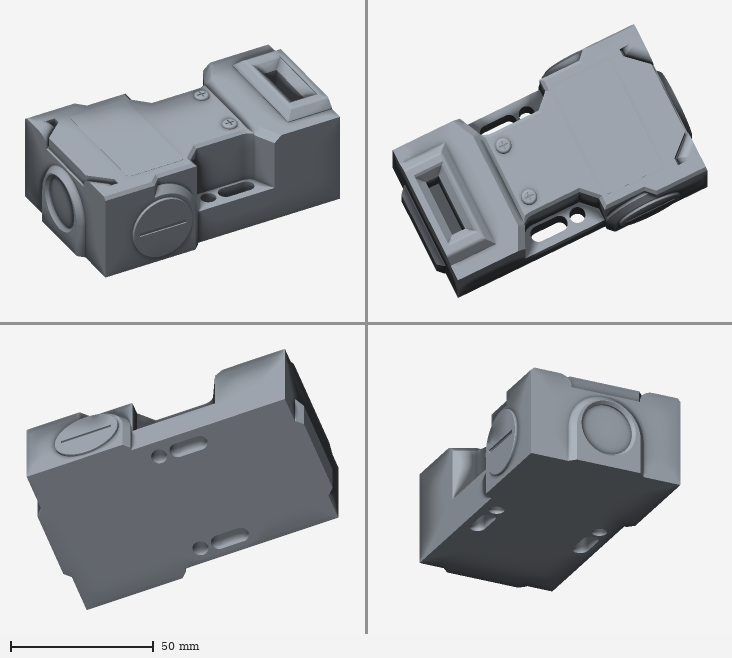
import cadquery as cq

BODY_LENGTH = 95.9
COVER_TOP = 33.7
COVER_BEVEL_DROP = 1.2
COVER_BEVEL_INSET = 1.0

HOUSING_HALF_WIDTH = 29.1
BASE_HALF_WIDTH = 25.9
NECK_HALF_WIDTH = 16.2
LEDGE_TOP = 13.2
SHOULDER_Y = 38.5
SHOULDER_DIAGONAL = 5.1
FLANK_STEP_Y = 23.0

HEAD_TOP = 34.7
HEAD_FRONT_Y = 65.9
HEAD_FRONT_HALF_WIDTH = 17.8
HEAD_FLANK_Y = 69.6
HEAD_BEVEL = 2.5
HEAD_CORNER_X = 18.8
HEAD_CORNER_Y = 66.2
NECK_ARC_START_Y = 62.0

COLLAR_TOP = 38.0
COLLAR_HALF_WIDTH = 20.2
COLLAR_FRONT_Y = 78.3
COLLAR_LIP = 0.3
COLLAR_EDGE_RADIUS = 1.8

MOUTH_HALF_WIDTH = 14.0
MOUTH_FRONT_Y = 82.1
MOUTH_REAR_Y = 93.5
LEAD_IN_INSET = 0.9
LEAD_IN_DEPTH = 0.5
SHAFT_HALF_WIDTH = 10.5
SHAFT_FRONT_Y = 85.5
SHAFT_REAR_Y = 90.6
FUNNEL_DEPTH = 3.2
SHAFT_FLOOR = 20.2

REAR_PLUG_HALF_WIDTH = 16.1
REAR_PLUG_HEIGHT = 14.9
REAR_PLUG_DEPTH = 2.5
REAR_PLUG_TIP = 0.3

MOUNT_X = 20.0
MOUNT_DIAMETER = 5.6
MOUNT_HOLE_Y = 46.3
MOUNT_SLOT_Y = 57.4
MOUNT_SLOT_LENGTH = 13.9

FRONT_BOSS_RADIUS = 14.6
FRONT_BOSS_Z = 13.4
FRONT_BOSS_DEPTH = 2.3
FRONT_BOSS_LIP = 0.1
KNOCKOUT_RADIUS = 10.6
KNOCKOUT_Z = 14.9
KNOCKOUT_BEVEL = 1.0
KNOCKOUT_DEPTH = 1.8

SIDE_BOSS_RADIUS = 15.6
SIDE_BOSS_BEVEL = 2.2
SIDE_BOSS_Y = 22.7
SIDE_BOSS_Z = 14.1
PLUG_RADIUS = 11.9
PLUG_FACE_X = 30.1
PLUG_EDGE = 0.2
PLUG_SLOT_LENGTH = 18.7
PLUG_SLOT_WIDTH = 1.4
PLUG_SLOT_DEPTH = 0.5

RELIEF_FLOOR = 29.1
RELIEF_GAP = 0.9
RELIEF_HALF_WIDTH = 23.1
RELIEF_INNER_X = 13.4
RELIEF_OUTER_X = 20.4
RELIEF_RUN = 7.7
WEDGE_RADIUS = 3.8

LABEL_WIDTH = 42.9
LABEL_LENGTH = 22.6
LABEL_Y = 24.7
LABEL_RADIUS = 1.5
LABEL_THICKNESS = 0.1
SCREW_X = 10.2
SCREW_Y = 60.3
SCREW_RADIUS = 2.8
SCREW_HEIGHT = 1.0
SCREW_EDGE_RADIUS = 0.9
CROSS_LENGTH = 3.4
CROSS_WIDTH = 0.5
CROSS_DEPTH = 0.5

OVERSHOOT = 1.0


def both_sides(solid):
    """The solid together with its mirror image across the symmetry plane."""
    return solid.union(solid.mirror("YZ"))


def mirrored_outline(right_points):
    """Closed outline from its right half, listed from front to rear."""
    left_points = [(-x, y) for x, y in reversed(right_points)]
    return right_points + left_points


def prism(points, bottom, top):
    return cq.Workplane("XY").workplane(offset=bottom).polyline(points).close().extrude(top - bottom)


def rect_at(workplane, half_width, front_y, rear_y):
    return workplane.center(0, (front_y + rear_y) / 2).rect(2 * half_width, rear_y - front_y)


def funnel(upper, upper_z, lower, lower_z):
    """Tapered block between two rectangles given as (half width, front Y, rear Y)."""
    plane = cq.Workplane("XY").workplane(offset=lower_z)
    lower_rect = rect_at(plane, *lower)
    middle_shift = (upper[1] + upper[2] - lower[1] - lower[2]) / 2
    return (
        lower_rect.workplane(offset=upper_z - lower_z)
        .center(0, middle_shift)
        .rect(2 * upper[0], upper[2] - upper[1])
        .loft(ruled=True)
    )


def arch(plane, radius, centre_height, depth):
    """Round-topped boss standing on the mounting face, extruded along the plane normal."""
    return (
        plane.moveTo(-radius, 0)
        .lineTo(-radius, centre_height)
        .threePointArc((0, centre_height + radius), (radius, centre_height))
        .lineTo(radius, 0)
        .close()
        .extrude(depth)
    )


def make_housing():
    """Full-height body under the cover: wide front, stepped flanks and narrow neck."""
    step = HOUSING_HALF_WIDTH - BASE_HALF_WIDTH
    diagonal_x = NECK_HALF_WIDTH + SHOULDER_DIAGONAL
    half = (
        cq.Workplane("XY")
        .moveTo(0, 0)
        .lineTo(HOUSING_HALF_WIDTH, 0)
        .lineTo(HOUSING_HALF_WIDTH, FLANK_STEP_Y - step)
        .lineTo(BASE_HALF_WIDTH, FLANK_STEP_Y)
        .lineTo(BASE_HALF_WIDTH, SHOULDER_Y)
        .lineTo(diagonal_x, SHOULDER_Y)
        .lineTo(NECK_HALF_WIDTH, SHOULDER_Y + SHOULDER_DIAGONAL)
        .lineTo(NECK_HALF_WIDTH, NECK_ARC_START_Y)
        .tangentArcPoint((HEAD_FRONT_HALF_WIDTH, HEAD_FRONT_Y), relative=False)
        .lineTo(0, HEAD_FRONT_Y)
        .close()
        .extrude(COVER_TOP)
    )
    housing = both_sides(half).clean()
    return housing.faces(">Z").edges("not <Y").chamfer(COVER_BEVEL_DROP, COVER_BEVEL_INSET)


def make_base():
    """Lower body carrying the two mounting ledges."""
    outline = mirrored_outline([(BASE_HALF_WIDTH, SHOULDER_Y), (BASE_HALF_WIDTH, BODY_LENGTH)])
    return prism(outline, 0, LEDGE_TOP)


def make_head():
    """Rear block with swept-back flanks and a bevelled front edge."""
    outline = mirrored_outline([
        (HEAD_FRONT_HALF_WIDTH, HEAD_FRONT_Y),
        (HEAD_CORNER_X, HEAD_CORNER_Y),
        (BASE_HALF_WIDTH, HEAD_FLANK_Y),
        (BASE_HALF_WIDTH, BODY_LENGTH),
    ])
    head = prism(outline, 0, HEAD_TOP)
    front_top_edges = cq.selectors.BoxSelector(
        (-BASE_HALF_WIDTH, HEAD_FRONT_Y - OVERSHOOT, HEAD_TOP - OVERSHOOT),
        (BASE_HALF_WIDTH, HEAD_FLANK_Y, HEAD_TOP + OVERSHOOT),
    )
    return head.edges(front_top_edges).chamfer(HEAD_BEVEL)


def make_collar():
    """Raised frame around the key slot, sloped at 45 degrees on the front and sides."""
    slope = COLLAR_TOP - HEAD_TOP - COLLAR_LIP
    foot_z = HEAD_TOP - OVERSHOOT
    foot = cq.Workplane("XY").workplane(offset=foot_z)
    collar = rect_at(foot, COLLAR_HALF_WIDTH, COLLAR_FRONT_Y, BODY_LENGTH).extrude(COLLAR_TOP - foot_z)
    collar = collar.faces(">Z").edges("<Y or <X or >X").chamfer(slope)
    return collar.faces(">Z").edges("<Y or <X or >X").fillet(COLLAR_EDGE_RADIUS)


def cut_key_slot(body):
    mouth = (MOUTH_HALF_WIDTH, MOUTH_FRONT_Y, MOUTH_REAR_Y)
    throat = (MOUTH_HALF_WIDTH - LEAD_IN_INSET, MOUTH_FRONT_Y + LEAD_IN_INSET, MOUTH_REAR_Y)
    shaft = (SHAFT_HALF_WIDTH, SHAFT_FRONT_Y, SHAFT_REAR_Y)
    throat_z = COLLAR_TOP - LEAD_IN_DEPTH
    shaft_z = COLLAR_TOP - FUNNEL_DEPTH
    body = body.cut(funnel(mouth, COLLAR_TOP, throat, throat_z))
    body = body.cut(funnel(throat, throat_z, shaft, shaft_z))
    shaft_plane = cq.Workplane("XY").workplane(offset=SHAFT_FLOOR)
    return body.cut(rect_at(shaft_plane, *shaft).extrude(shaft_z - SHAFT_FLOOR))


def make_rear_plug():
    """Blanking plug on the rear face, bevelled on its top and sides."""
    plug = (
        cq.Workplane("XZ", origin=(0, BODY_LENGTH, 0))
        .center(0, REAR_PLUG_HEIGHT / 2)
        .rect(2 * REAR_PLUG_HALF_WIDTH, REAR_PLUG_HEIGHT)
        .extrude(-REAR_PLUG_DEPTH)
    )
    return plug.faces(">Y").edges(">Z or <X or >X").chamfer(REAR_PLUG_DEPTH - REAR_PLUG_TIP)


def make_front_boss():
    boss = arch(cq.Workplane("XZ"), FRONT_BOSS_RADIUS, FRONT_BOSS_Z, FRONT_BOSS_DEPTH)
    return boss.faces("<Y").edges("not <Z").chamfer(FRONT_BOSS_DEPTH - FRONT_BOSS_LIP)


def knockout_cutter():
    """Shallow round recess in the front boss with a 45 degree countersink."""
    mouth = cq.Workplane("XZ", origin=(0, -FRONT_BOSS_DEPTH, KNOCKOUT_Z))
    countersink = mouth.circle(KNOCKOUT_RADIUS).extrude(-KNOCKOUT_BEVEL, taper=45)
    recess = mouth.circle(KNOCKOUT_RADIUS - KNOCKOUT_BEVEL).extrude(-KNOCKOUT_DEPTH)
    return recess.union(countersink)


def make_side_boss():
    """Arched boss filling the flank below the upper wall step, on the +X side."""
    plane = cq.Workplane("YZ", origin=(0, SIDE_BOSS_Y, 0))
    boss = arch(plane, SIDE_BOSS_RADIUS, SIDE_BOSS_Z, HOUSING_HALF_WIDTH)
    return boss.faces(">X").edges("not <Z").chamfer(SIDE_BOSS_BEVEL)


def make_side_plug():
    """Round blanking plug with a screwdriver slot, on the +X side."""
    plug = (
        cq.Workplane("YZ", origin=(BASE_HALF_WIDTH, SIDE_BOSS_Y, SIDE_BOSS_Z))
        .circle(PLUG_RADIUS)
        .extrude(PLUG_FACE_X - BASE_HALF_WIDTH)
        .faces(">X")
        .chamfer(PLUG_EDGE)
    )
    slot = (
        cq.Workplane("YZ", origin=(PLUG_FACE_X, SIDE_BOSS_Y, SIDE_BOSS_Z))
        .rect(PLUG_SLOT_LENGTH, PLUG_SLOT_WIDTH)
        .extrude(-PLUG_SLOT_DEPTH)
    )
    return plug.cut(slot)


def relief_cutter():
    """Gap along the front of the cover; a wedge with rounded edges stays in each corner."""
    rear_y = RELIEF_RUN + RELIEF_GAP
    outline = mirrored_outline([
        (RELIEF_HALF_WIDTH, -OVERSHOOT),
        (RELIEF_HALF_WIDTH, rear_y),
        (RELIEF_OUTER_X, rear_y),
        (RELIEF_INNER_X, RELIEF_GAP),
    ])
    cutter = prism(outline, RELIEF_FLOOR, COVER_TOP + OVERSHOOT)
    wedge = prism(
        [
            (RELIEF_INNER_X, 0),
            (RELIEF_HALF_WIDTH, 0),
            (RELIEF_HALF_WIDTH, RELIEF_RUN),
            (RELIEF_OUTER_X, RELIEF_RUN),
        ],
        RELIEF_FLOOR,
        COVER_TOP,
    )
    wedge = wedge.faces(">Z").edges("not (<Y or >X)").fillet(WEDGE_RADIUS)
    return cutter.cut(both_sides(wedge))


def make_label():
    return (
        cq.Workplane("XY", origin=(0, LABEL_Y, COVER_TOP))
        .rect(LABEL_WIDTH, LABEL_LENGTH)
        .extrude(LABEL_THICKNESS)
        .edges("|Z")
        .fillet(LABEL_RADIUS)
    )


def make_screw():
    """Domed head with a cross recess, on the +X side."""
    head = (
        cq.Workplane("XY", origin=(SCREW_X, SCREW_Y, COVER_TOP))
        .circle(SCREW_RADIUS)
        .extrude(SCREW_HEIGHT)
        .faces(">Z")
        .edges()
        .fillet(SCREW_EDGE_RADIUS)
    )
    for length, width in ((CROSS_LENGTH, CROSS_WIDTH), (CROSS_WIDTH, CROSS_LENGTH)):
        bar = cq.Workplane("XY", origin=(SCREW_X, SCREW_Y, COVER_TOP + SCREW_HEIGHT)).rect(length, width)
        head = head.cut(bar.extrude(-CROSS_DEPTH))
    return head


def mount_cutter():
    """Round hole and elongated hole through the +X ledge."""
    hole = cq.Workplane("XY").center(MOUNT_X, MOUNT_HOLE_Y).circle(MOUNT_DIAMETER / 2).extrude(LEDGE_TOP)
    slot = (
        cq.Workplane("XY")
        .center(MOUNT_X, MOUNT_SLOT_Y)
        .slot2D(MOUNT_SLOT_LENGTH, MOUNT_DIAMETER, 90)
        .extrude(LEDGE_TOP)
    )
    return hole.union(slot)


body = make_housing().union(make_base()).union(make_head()).union(make_collar())
body = body.union(make_rear_plug()).union(make_front_boss()).union(both_sides(make_side_boss()))
body = cut_key_slot(body)
body = body.cut(relief_cutter()).cut(knockout_cutter()).cut(both_sides(mount_cutter()))
body = body.union(both_sides(make_side_plug())).union(both_sides(make_screw()))
result = body.union(make_label())